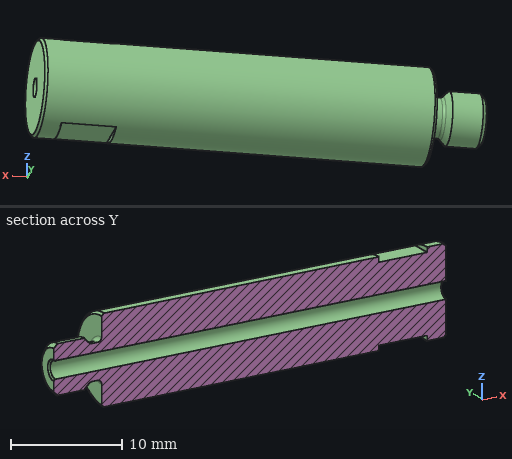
import cadquery as cq
import math

total_length = 41.0
body_radius = 4.5
body_chamfer = 0.25

stub_length = 5.0
stub_radius = 2.5
stub_chamfer = 0.4

undercut_start = 3.2
undercut_radius = 1.85
undercut_fillet = 0.4
undercut_angle = math.radians(45)

bore_diameter = 1.72
bore_chamfer = 0.15

flat_length = 5.0
flat_end_distance = 2.0
across_flats = 8.0


def turned_pin():
    """Revolve the half outline of the body, stub and undercut about X."""
    slope_end_radius = undercut_radius + undercut_fillet * (1 - math.cos(undercut_angle))
    slope_end = undercut_start + (stub_radius - slope_end_radius) / math.tan(undercut_angle)
    root_start = slope_end + undercut_fillet * math.sin(undercut_angle)
    half_angle = undercut_angle / 2
    first_arc_middle = (
        root_start - undercut_fillet * math.sin(half_angle),
        undercut_radius + undercut_fillet * (1 - math.cos(half_angle)),
    )

    root_end = stub_length - undercut_fillet
    quarter_middle = math.radians(45)
    second_arc_middle = (
        root_end + undercut_fillet * math.sin(quarter_middle),
        undercut_radius + undercut_fillet * (1 - math.cos(quarter_middle)),
    )

    outline = (
        cq.Workplane("XY")
        .moveTo(0, 0)
        .lineTo(0, stub_radius - stub_chamfer)
        .lineTo(stub_chamfer, stub_radius)
        .lineTo(undercut_start, stub_radius)
        .lineTo(slope_end, slope_end_radius)
        .threePointArc(first_arc_middle, (root_start, undercut_radius))
        .lineTo(root_end, undercut_radius)
        .threePointArc(second_arc_middle, (stub_length, undercut_radius + undercut_fillet))
        .lineTo(stub_length, body_radius - body_chamfer)
        .lineTo(stub_length + body_chamfer, body_radius)
        .lineTo(total_length - body_chamfer, body_radius)
        .lineTo(total_length, body_radius - body_chamfer)
        .lineTo(total_length, 0)
        .close()
    )
    return outline.revolve(360, (0, 0, 0), (1, 0, 0))


def bore():
    """Through hole with a chamfered mouth at the small end."""
    bore_radius = bore_diameter / 2
    outline = (
        cq.Workplane("XY")
        .moveTo(0, 0)
        .lineTo(0, bore_radius + bore_chamfer)
        .lineTo(bore_chamfer, bore_radius)
        .lineTo(total_length, bore_radius)
        .lineTo(total_length, 0)
        .close()
    )
    return outline.revolve(360, (0, 0, 0), (1, 0, 0))


def flat_cutter(side):
    """Block that removes the material outside one flat; side is +1 or -1."""
    block_height = body_radius
    flat_center = total_length - flat_end_distance - flat_length / 2
    block = cq.Workplane("XY").box(flat_length, 2 * body_radius, block_height)
    return block.translate((flat_center, 0, side * (across_flats + block_height) / 2))


result = turned_pin().cut(bore())
for side in (1, -1):
    result = result.cut(flat_cutter(side))